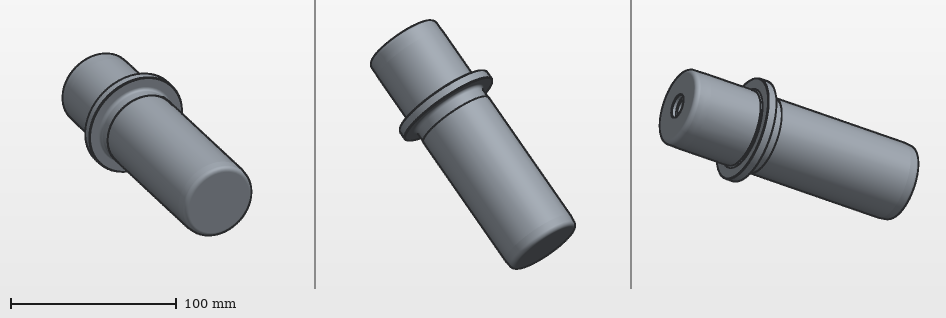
import cadquery as cq
import math

total_length = 155.0
flange_start = 45.0
flange_end = 51.0
neck_end = 58.9

body_radius = 24.0
neck_radius = 23.7
flange_diameter = 64.0
flange_radius = flange_diameter / 2
flange_edge_chamfer = 0.5

corner_length = 3.0
head_taper_end = 9.9
head_face_radius = 21.0
head_taper_drop = 0.2
tail_taper_length = 7.0
tail_taper_drop = 0.5
tail_face_radius = head_face_radius - (tail_taper_drop - head_taper_drop)

relief_start = 44.0
relief_top_radius = 25.1
relief_depth = 0.3
relief_floor_start = 44.5

neck_fillet = 2.0

counterbore_radius = 7.1
counterbore_depth = 3.1
counterbore_chamfer = 0.5
drill_radius = 5.0
drill_depth = 24.8
drill_tip_angle = 118.0


def rounded_corner_midpoint(x_face, r_face, x_side, r_side):
    """Point halfway round a corner that sweeps from face to side."""
    bulge = math.sqrt(0.5)
    return (x_side + (x_face - x_side) * bulge, r_face + (r_side - r_face) * bulge)


def make_body():
    """Revolve the half-section of head, flange, neck and guide length about X."""
    head_corner_radius = body_radius - head_taper_drop
    tail_corner_radius = body_radius - tail_taper_drop
    tail_corner = total_length - corner_length
    relief_middle = (flange_start + relief_depth / 2, body_radius)
    fillet_swing = neck_fillet * (1 - math.sqrt(0.5))
    profile = (
        cq.Workplane("XY")
        .moveTo(0, 0)
        .lineTo(0, head_face_radius)
        .threePointArc(
            rounded_corner_midpoint(0, head_face_radius, corner_length, head_corner_radius),
            (corner_length, head_corner_radius),
        )
        .lineTo(head_taper_end, body_radius)
        .lineTo(relief_start, body_radius)
        .lineTo(relief_floor_start, body_radius - relief_depth)
        .threePointArc(relief_middle, (flange_start, relief_top_radius))
        .lineTo(flange_start, flange_radius - flange_edge_chamfer)
        .lineTo(flange_start + flange_edge_chamfer, flange_radius)
        .lineTo(flange_end - flange_edge_chamfer, flange_radius)
        .lineTo(flange_end, flange_radius - flange_edge_chamfer)
        .lineTo(flange_end, neck_radius + neck_fillet)
        .threePointArc(
            (flange_end + fillet_swing, neck_radius + fillet_swing),
            (flange_end + neck_fillet, neck_radius),
        )
        .lineTo(neck_end, neck_radius)
        .lineTo(neck_end, body_radius)
        .lineTo(total_length - tail_taper_length, body_radius)
        .lineTo(tail_corner, tail_corner_radius)
        .threePointArc(
            rounded_corner_midpoint(total_length, tail_face_radius, tail_corner, tail_corner_radius),
            (total_length, tail_face_radius),
        )
        .lineTo(total_length, 0)
        .close()
    )
    return profile.revolve(360, (0, 0, 0), (1, 0, 0))


def make_center_hole():
    """Chamfered counterbore, drilled hole and conical drill tip on the X axis."""
    tip_length = drill_radius / math.tan(math.radians(drill_tip_angle / 2))
    return (
        cq.Workplane("XY")
        .moveTo(0, 0)
        .lineTo(0, counterbore_radius + counterbore_chamfer)
        .lineTo(counterbore_chamfer, counterbore_radius)
        .lineTo(counterbore_depth, counterbore_radius)
        .lineTo(counterbore_depth, drill_radius)
        .lineTo(drill_depth, drill_radius)
        .lineTo(drill_depth + tip_length, 0)
        .close()
        .revolve(360, (0, 0, 0), (1, 0, 0))
    )


result = make_body().cut(make_center_hole())